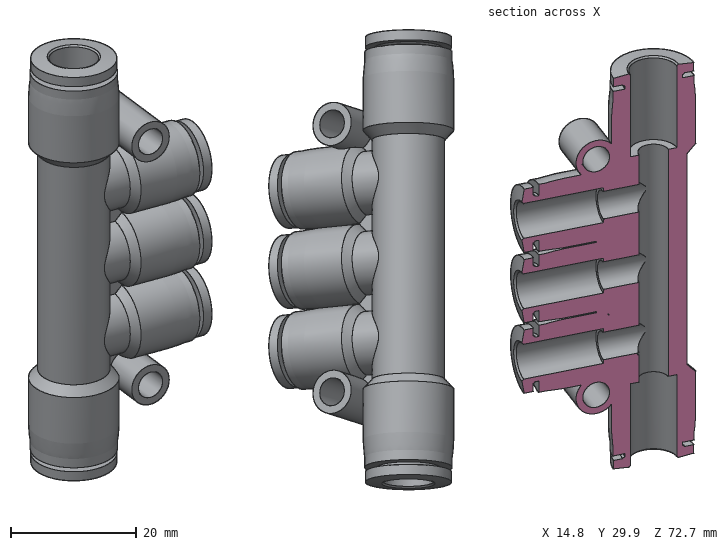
import cadquery as cq

TUBE_D = 11.6
THROUGH_D = 5.0
MAIN_LENGTH = 72.7

MAIN_SOCKET = {
    "body_d": 14.5, "rim_d": 14.0, "collar_d": 13.8,
    "neck_d": 9.94, "flare_d": 10.7, "bore_d": 7.94, "bore_mouth_d": 8.5, "stem_d": TUBE_D,
    "stem_end": 19.45, "body_start": 21.0, "taper_start": 29.3, "rim_start": 32.15,
    "rim_end": 33.7, "flare_start": 34.15, "collar_start": 34.45, "collar_end": 36.1,
    "tip": MAIN_LENGTH / 2,
}
BRANCH_SOCKET = {
    "body_d": 12.9, "rim_d": 12.5, "collar_d": 11.8,
    "neck_d": 8.35, "flare_d": 9.0, "bore_d": 6.35, "bore_mouth_d": 7.0, "stem_d": 10.4,
    "stem_end": 7.4, "body_start": 8.65, "taper_start": 15.45, "rim_start": 18.5,
    "rim_end": 19.75, "flare_start": 20.3, "collar_start": 20.65, "collar_end": 22.25,
    "tip": 22.65,
}
BRANCH_PITCH = 13.0
BRANCH_COUNT = 3

SLEEVE_D = 7.0
SLEEVE_HOLE_D = 4.5
SLEEVE_LENGTH = 14.8
SLEEVE_Y = 9.85
SLEEVE_Z = 21.75

WEB_THICKNESS = 1.0


def socket(s):
    """Solid socket of revolution around +Z, starting at the origin."""
    profile = (
        cq.Workplane("XZ")
        .lineTo(s["stem_d"] / 2, 0)
        .lineTo(s["stem_d"] / 2, s["stem_end"])
        .lineTo(s["body_d"] / 2, s["body_start"])
        .lineTo(s["body_d"] / 2, s["taper_start"])
        .tangentArcPoint((s["rim_d"] / 2, s["rim_start"]), relative=False)
        .lineTo(s["rim_d"] / 2, s["rim_end"])
        .lineTo(s["neck_d"] / 2, s["rim_end"])
        .lineTo(s["neck_d"] / 2, s["flare_start"])
        .lineTo(s["flare_d"] / 2, s["collar_start"])
        .lineTo(s["collar_d"] / 2, s["collar_start"])
        .lineTo(s["collar_d"] / 2, s["collar_end"])
        .lineTo(s["bore_mouth_d"] / 2, s["tip"])
        .lineTo(0, s["tip"])
        .close()
    )
    return profile.revolve(360, (0, 0, 0), (0, 1, 0))


def socket_bore(s):
    """Stepped hole of a socket around +Z: through passage, tube seat at the body start, mouth chamfer."""
    mouth_depth = (s["bore_mouth_d"] - s["bore_d"]) / 2
    profile = (
        cq.Workplane("XZ")
        .lineTo(THROUGH_D / 2, 0)
        .lineTo(THROUGH_D / 2, s["body_start"])
        .lineTo(s["bore_d"] / 2, s["body_start"])
        .lineTo(s["bore_d"] / 2, s["tip"] - mouth_depth)
        .lineTo(s["bore_mouth_d"] / 2, s["tip"])
        .lineTo(0, s["tip"])
        .close()
    )
    return profile.revolve(360, (0, 0, 0), (0, 1, 0))


def at_main_ends(shape):
    """Copies of a +Z shape for the upper and lower ends of the main tube."""
    return [shape, shape.mirror("XY")]


def at_branches(shape):
    """Copies of a +Z shape turned to +Y, one for each branch."""
    turned = shape.rotate((0, 0, 0), (1, 0, 0), -90)
    middle = (BRANCH_COUNT - 1) / 2
    return [turned.translate((0, 0, (i - middle) * BRANCH_PITCH)) for i in range(BRANCH_COUNT)]


def sleeve_cylinder(diameter, z):
    """Cylinder along X at a sleeve position."""
    return (
        cq.Workplane("YZ")
        .center(SLEEVE_Y, z)
        .circle(diameter / 2)
        .extrude(SLEEVE_LENGTH / 2, both=True)
    )


def web():
    """Flat plate in the YZ plane from the tube axis to the sleeve axes."""
    return cq.Workplane("XY").box(WEB_THICKNESS, SLEEVE_Y, 2 * SLEEVE_Z).translate((0, SLEEVE_Y / 2, 0))


sleeve_heights = (SLEEVE_Z, -SLEEVE_Z)

solids = at_main_ends(socket(MAIN_SOCKET)) + at_branches(socket(BRANCH_SOCKET))
solids += [sleeve_cylinder(SLEEVE_D, z) for z in sleeve_heights]

bores = at_main_ends(socket_bore(MAIN_SOCKET)) + at_branches(socket_bore(BRANCH_SOCKET))
bores += [sleeve_cylinder(SLEEVE_HOLE_D, z) for z in sleeve_heights]

result = web()
for solid in solids:
    result = result.union(solid)
for bore in bores:
    result = result.cut(bore)